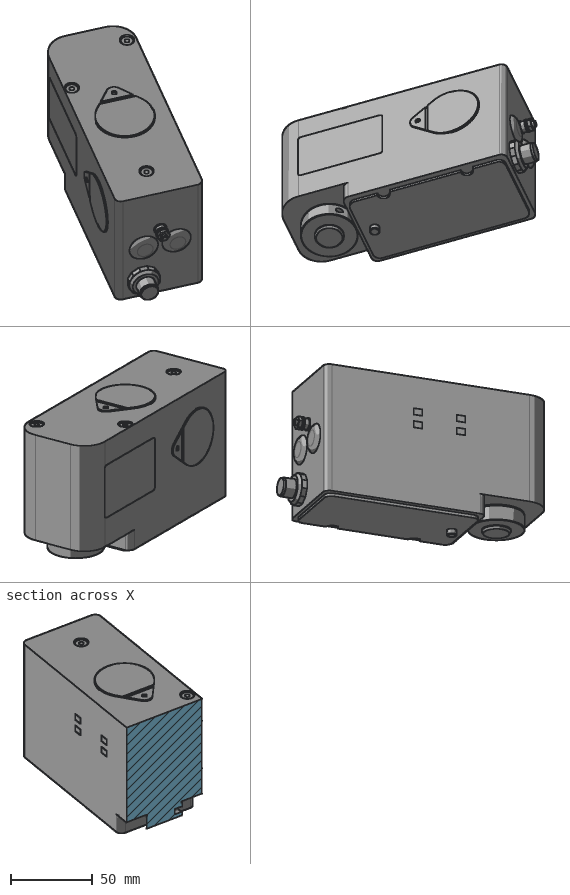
import cadquery as cq
import math

BODY_LENGTH = 150.0
BODY_WIDTH = 56.0
BODY_HEIGHT = 83.0
HEAD_HEIGHT = 70.0
FOOT_START = 43.5
END_RADIUS = 15.0
CORNER_RADIUS = 4.0
HEAD_BOTTOM = BODY_HEIGHT - HEAD_HEIGHT
FRONT_Y = -BODY_WIDTH / 2
BACK_Y = BODY_WIDTH / 2

PLATE_START = 46.0
PLATE_END = 147.5
PLATE_WIDTH = 49.0
PLATE_THICKNESS = 2.0
PLATE_RADIUS = 4.5
NOTCH_DIAMETER = 8.0
NOTCH_POSITIONS = (69.4, 123.7)
PIN_DIAMETER = 6.0
PIN_X = 54.6
PIN_HEIGHT = 3.5
PIN_CHAMFER = 0.5

RING_X = 25.0
RING_DIAMETER = 35.0
RING_CHAMFER = 0.4
NECK_DIAMETER = 34.0
NECK_HEIGHT = 0.7
RING_HEIGHT = 9.7
CAP_DIAMETER = 18.0
CAP_TIP_DIAMETER = 16.0
CAP_RIM_HEIGHT = 0.6
CAP_TAPER_HEIGHT = 1.6
CLAMP_HOLE_DIAMETER = 3.46
CLAMP_HOLE_X = 36.4
CLAMP_HOLE_DROP = 5.6
CLAMP_HOLE_FLOOR_Y = -8.0

COVER_RADIUS = 18.1
COVER_RIM_RADIUS = 18.6
COVER_TIP_RADIUS = 5.0
COVER_TIP_OFFSET = 21.2
COVER_HEIGHT = 1.0
COVER_CHAMFER = COVER_RIM_RADIUS - COVER_RADIUS
GROOVE_OFFSET = -15.4
GROOVE_WIDTH = 1.55
GROOVE_DEPTH = 0.5
TAB_HOLE_DIAMETER = 3.0
TOP_COVER_X = 79.1
FRONT_COVER_X = 114.5
FRONT_COVER_DROP = 32.0

LABEL_LENGTH = 55.0
LABEL_HEIGHT = 35.0
LABEL_RADIUS = 2.0
LABEL_THICKNESS = 0.1
LABEL_CENTER_DROP = 33.7
PAD_LENGTH = 5.6
PAD_HEIGHT = 4.2
PAD_THICKNESS = 0.2
PAD_POSITIONS_X = (60.4, 88.8)
PAD_DROPS = (22.7, 31.1)

SCREW_POSITIONS = ((15.0, 22.0), (45.0, -23.0), (129.0, -2.0))
SCREW_RECESS_DIAMETER = 9.0
SCREW_HEAD_DIAMETER = 7.53
SCREW_RECESS_DEPTH = 0.75
SOCKET_DIAMETER = 3.0
SOCKET_DEPTH = 0.9

STUD_DROP = 30.0
STUD_FLANGE_DIAMETER = 8.0
STUD_FLANGE_END = 0.5
STUD_COLLAR_DIAMETER = 7.0
STUD_COLLAR_END = 3.4
WASHER_DIAMETER = 8.0
WASHER_END = 4.2
SPRING_WASHER_DIAMETER = 7.0
SPRING_WASHER_END = 5.0
STUD_NUT_FLATS = 7.0
STUD_NUT_END = 7.3
STUD_DIAMETER = 4.0
STUD_END = 9.5
STUD_CHAMFER = 0.5
DOME_DROP = 43.0
DOME_OFFSET_Y = 10.5
DOME_RADIUS = 9.2
DOME_FLAT_RADIUS = 5.0
DOME_HEIGHT = 2.4
CONNECTOR_DROP = 69.0
CONNECTOR_Y = -11.0
CONNECTOR_NUT_SIDES = 12
CONNECTOR_NUT_FLATS = 19.7
CONNECTOR_NUT_END = 3.4
CONNECTOR_CONE_DIAMETER = 16.5
CONNECTOR_CONE_END = 5.4
BARREL_DIAMETER = 12.0
BARREL_END = 12.2
BARREL_TIP_DIAMETER = 11.0
CONNECTOR_LENGTH = 13.65


def cylinder(plane, diameter, start, end):
    """Cylinder along the plane normal between two distances from the plane."""
    return plane.workplane(offset=start).circle(diameter / 2).extrude(end - start)


def frustum(plane, start_diameter, end_diameter, start, end):
    """Cone section along the plane normal between two distances from the plane."""
    base = plane.workplane(offset=start).circle(start_diameter / 2)
    return base.workplane(offset=end - start).circle(end_diameter / 2).loft()


def end_wall(y, drop):
    """Plane on the end wall facing +X; its local x runs along +Y."""
    return cq.Workplane("YZ", origin=(BODY_LENGTH, y, BODY_HEIGHT - drop))


def housing():
    head = (
        cq.Workplane("XY", origin=(0, 0, HEAD_BOTTOM))
        .rect(BODY_LENGTH, BODY_WIDTH)
        .extrude(HEAD_HEIGHT)
        .translate((BODY_LENGTH / 2, 0, 0))
    )
    head = head.edges("|Z and <X").fillet(END_RADIUS).edges("|Z and >X").fillet(CORNER_RADIUS)
    foot_length = BODY_LENGTH - FOOT_START
    foot = (
        cq.Workplane("XY", origin=(FOOT_START + foot_length / 2, 0, 0))
        .rect(foot_length, BODY_WIDTH)
        .extrude(HEAD_BOTTOM)
        .edges("|Z")
        .fillet(CORNER_RADIUS)
    )
    return head.union(foot)


def base_plate():
    plate_length = PLATE_END - PLATE_START
    plate = (
        cq.Workplane("XY", origin=(PLATE_START + plate_length / 2, 0, -PLATE_THICKNESS))
        .rect(plate_length, PLATE_WIDTH)
        .extrude(PLATE_THICKNESS)
        .edges("|Z")
        .fillet(PLATE_RADIUS)
    )
    for notch_x in NOTCH_POSITIONS:
        notch_plane = cq.Workplane("XY", origin=(notch_x, -PLATE_WIDTH / 2, 0))
        plate = plate.cut(cylinder(notch_plane, NOTCH_DIAMETER, -PLATE_THICKNESS, 0))
    pin_plane = cq.Workplane("XY", origin=(PIN_X, 0, -PLATE_THICKNESS))
    pin = cylinder(pin_plane, PIN_DIAMETER, -PIN_HEIGHT, 0).faces("<Z").chamfer(PIN_CHAMFER)
    return plate.union(pin)


def clamp_ring():
    ring_top = HEAD_BOTTOM - NECK_HEIGHT
    ring_bottom = ring_top - RING_HEIGHT
    rim_bottom = ring_bottom - CAP_RIM_HEIGHT
    axis = cq.Workplane("XY", origin=(RING_X, 0, 0))
    ring = cylinder(axis, RING_DIAMETER, ring_bottom, ring_top).faces("<Z or >Z").chamfer(RING_CHAMFER)
    hole_plane = cq.Workplane("XZ", origin=(CLAMP_HOLE_X, CLAMP_HOLE_FLOOR_Y, HEAD_BOTTOM - CLAMP_HOLE_DROP))
    ring = ring.cut(cylinder(hole_plane, CLAMP_HOLE_DIAMETER, 0, RING_DIAMETER))
    neck = cylinder(axis, NECK_DIAMETER, ring_top, HEAD_BOTTOM)
    rim = cylinder(axis, CAP_DIAMETER, rim_bottom, ring_bottom)
    taper = frustum(axis, CAP_TIP_DIAMETER, CAP_DIAMETER, rim_bottom - CAP_TAPER_HEIGHT, rim_bottom)
    return ring.union(neck).union(rim).union(taper)


def cover():
    """Teardrop cover lying on XY, disc centred on the origin, tab pointing to -X."""
    tangent_angle = math.asin((COVER_RADIUS - COVER_TIP_RADIUS) / COVER_TIP_OFFSET)
    along = math.sin(tangent_angle)
    across = math.cos(tangent_angle)
    disc_x = -COVER_RADIUS * along
    disc_y = COVER_RADIUS * across
    tip_x = -COVER_TIP_OFFSET - COVER_TIP_RADIUS * along
    tip_y = COVER_TIP_RADIUS * across
    outline = (
        cq.Workplane("XY")
        .moveTo(0, COVER_RADIUS)
        .radiusArc((disc_x, disc_y), -COVER_RADIUS)
        .lineTo(tip_x, tip_y)
        .radiusArc((tip_x, -tip_y), -COVER_TIP_RADIUS)
        .lineTo(disc_x, -disc_y)
        .radiusArc((0, -COVER_RADIUS), -COVER_RADIUS)
        .close()
    )
    left_part = outline.extrude(COVER_HEIGHT)
    groove = cq.Workplane("XY", origin=(GROOVE_OFFSET, 0, COVER_HEIGHT - GROOVE_DEPTH))
    left_part = left_part.cut(groove.rect(GROOVE_WIDTH, 2 * COVER_RADIUS).extrude(GROOVE_DEPTH))
    tab_hole = cq.Workplane("XY", origin=(-COVER_TIP_OFFSET, 0, 0))
    left_part = left_part.cut(cylinder(tab_hole, TAB_HOLE_DIAMETER, 0, COVER_HEIGHT))
    disc = cq.Workplane("XY").circle(COVER_RIM_RADIUS).extrude(COVER_HEIGHT)
    disc = disc.faces(">Z").chamfer(COVER_CHAMFER)
    right_half = cq.Workplane("XY", origin=(COVER_RIM_RADIUS, 0, 0))
    right_half = right_half.rect(2 * COVER_RIM_RADIUS, 2 * COVER_RIM_RADIUS).extrude(COVER_HEIGHT)
    return left_part.union(disc.intersect(right_half))


def name_plate():
    center = (END_RADIUS + LABEL_LENGTH / 2, FRONT_Y, BODY_HEIGHT - LABEL_CENTER_DROP)
    plate = cq.Workplane("XZ", origin=center)
    return plate.rect(LABEL_LENGTH, LABEL_HEIGHT).extrude(LABEL_THICKNESS).edges("|Y").fillet(LABEL_RADIUS)


def rear_pads():
    centers = [(x, BODY_HEIGHT - drop) for x in PAD_POSITIONS_X for drop in PAD_DROPS]
    plane = cq.Workplane("XZ", origin=(0, BACK_Y, 0))
    return plane.pushPoints(centers).rect(PAD_LENGTH, PAD_HEIGHT).extrude(-PAD_THICKNESS)


def screw_recess(x, y):
    """Conical recess with the screw socket in its flat floor, as a cutting body."""
    plane = cq.Workplane("XY", origin=(x, y, BODY_HEIGHT))
    recess = frustum(plane, SCREW_HEAD_DIAMETER, SCREW_RECESS_DIAMETER, -SCREW_RECESS_DEPTH, 0)
    socket_center = cq.Vector(x, y, BODY_HEIGHT - SCREW_RECESS_DEPTH)
    socket = cq.Solid.makeCone(SOCKET_DIAMETER / 2, 0, SOCKET_DEPTH, socket_center, cq.Vector(0, 0, -1))
    return recess.union(cq.Workplane(obj=socket))


def ground_stud():
    wall = end_wall(0, STUD_DROP)
    stud = cylinder(wall, STUD_DIAMETER, 0, STUD_END).faces(">X").chamfer(STUD_CHAMFER)
    stud = stud.union(cylinder(wall, STUD_FLANGE_DIAMETER, 0, STUD_FLANGE_END))
    stud = stud.union(cylinder(wall, STUD_COLLAR_DIAMETER, STUD_FLANGE_END, STUD_COLLAR_END))
    stud = stud.union(cylinder(wall, WASHER_DIAMETER, STUD_COLLAR_END, WASHER_END))
    stud = stud.union(cylinder(wall, SPRING_WASHER_DIAMETER, WASHER_END, SPRING_WASHER_END))
    nut_corners = STUD_NUT_FLATS / math.cos(math.pi / 6)
    nut = wall.workplane(offset=SPRING_WASHER_END).polygon(6, nut_corners)
    return stud.union(nut.extrude(STUD_NUT_END - SPRING_WASHER_END))


def dome(y):
    """Flat-topped button whose rounded flank is tangent to its top."""
    flank_width = DOME_RADIUS - DOME_FLAT_RADIUS
    flank_radius = (flank_width**2 + DOME_HEIGHT**2) / (2 * DOME_HEIGHT)
    profile = (
        cq.Workplane("XY")
        .lineTo(DOME_HEIGHT, 0)
        .lineTo(DOME_HEIGHT, DOME_FLAT_RADIUS)
        .radiusArc((0, DOME_RADIUS), -flank_radius)
        .close()
    )
    button = profile.revolve(360, (0, 0, 0), (1, 0, 0))
    return button.translate((BODY_LENGTH, y, BODY_HEIGHT - DOME_DROP))


def connector():
    wall = end_wall(CONNECTOR_Y, CONNECTOR_DROP)
    nut = wall.polygon(CONNECTOR_NUT_SIDES, CONNECTOR_NUT_FLATS, circumscribed=True)
    nut = nut.extrude(CONNECTOR_NUT_END)
    cone = frustum(wall, CONNECTOR_NUT_FLATS, CONNECTOR_CONE_DIAMETER, CONNECTOR_NUT_END, CONNECTOR_CONE_END)
    barrel = cylinder(wall, BARREL_DIAMETER, CONNECTOR_CONE_END, BARREL_END)
    tip = cylinder(wall, BARREL_TIP_DIAMETER, BARREL_END, CONNECTOR_LENGTH)
    return nut.union(cone).union(barrel).union(tip)


result = housing().union(base_plate()).union(clamp_ring())
for screw_x, screw_y in SCREW_POSITIONS:
    result = result.cut(screw_recess(screw_x, screw_y))

top_cover = cover().translate((TOP_COVER_X, 0, BODY_HEIGHT))
front_cover = cover().rotate((0, 0, 0), (1, 0, 0), 90)
front_cover = front_cover.translate((FRONT_COVER_X, FRONT_Y, BODY_HEIGHT - FRONT_COVER_DROP))
result = result.union(top_cover).union(front_cover).union(name_plate()).union(rear_pads())

result = result.union(ground_stud()).union(connector())
for dome_y in (-DOME_OFFSET_Y, DOME_OFFSET_Y):
    result = result.union(dome(dome_y))